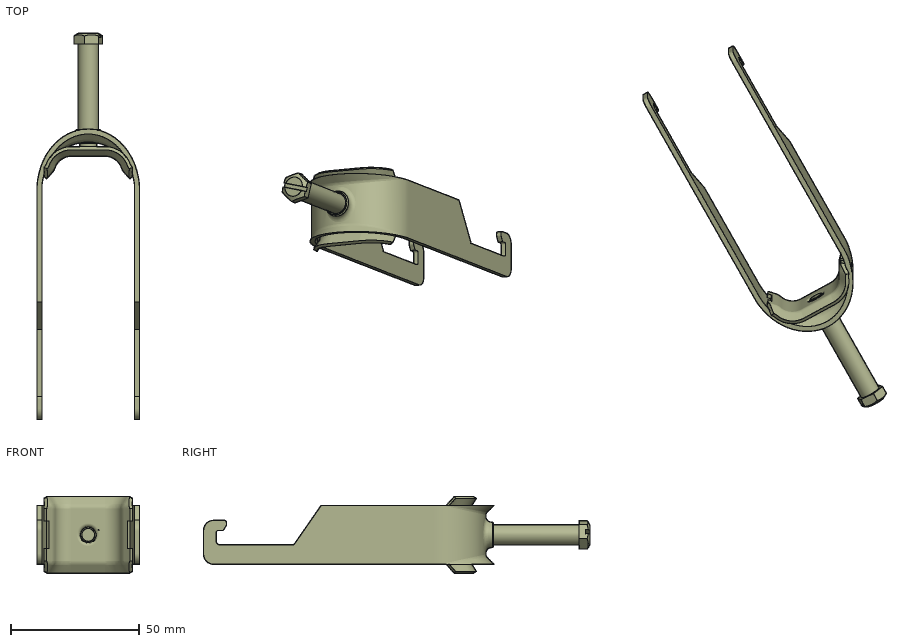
import cadquery as cq
import math

bow_radius = 20.0
strap_thickness = 2.0
strap_width = 23.0
leg_length = 90.0
half_width = strap_width / 2
inner_bow_radius = bow_radius - strap_thickness

flare_start_y = 3.0
flare_height = 3.2
rim_bend_radius = 1.5

ramp_start = 45.8
ramp_end = 35.2
hook_ledge_height = 7.7
hook_height = 17.2
hook_wall = 5.0
hook_throat = 5.5
hook_lip_length = 7.7
hook_reach = 9.0
hook_tip_height = 2.0
hook_corner_radius = 4.0
hook_tip_radius = 0.9
throat_top_radius = 0.8
throat_bottom_radius = 1.4

collar_diameter = 10.0
collar_end_y = 23.0
collar_chamfer = 0.5
collar_fillet = 2.0

saddle_height = 30.0
saddle_thickness = 1.5
saddle_face_y = 12.5
saddle_back_y = saddle_face_y + saddle_thickness
saddle_flat_half = 6.6
saddle_bend_end_x = 12.84
saddle_bend_angle = 70.0
saddle_tab_angle = 48.0
saddle_kink_radius = 6.4
saddle_tab_length = 3.15
saddle_flare_angle = 33.0
saddle_flare_start_z = 11.1
saddle_flare_radius = 3.0
saddle_corner_z = 10.2
saddle_corner_slope = 0.65
notch_height = 10.7
notch_depth = 1.5
hole_rim_radius = 1.4

bolt_end_y = 60.5
head_height = 4.3
head_across_flats = 10.0
head_turn = 15.0
slot_turn = head_turn - 30.0
head_face_radius = 3.8
head_chamfer_angle = 30.0
slot_width = 1.6
slot_depth = 1.8
shank_diameter = 8.0
shank_tip_y = inner_bow_radius - 0.5
core_diameter = 6.65
pin_diameter = 6.0
pin_chamfer = 0.5

clearance = 50.0
margin = 0.1


def y_cylinder(diameter, y_start, y_end):
    """Cylinder about the Y axis."""
    base = cq.Workplane("XZ", origin=(0, y_start, 0)).circle(diameter / 2)
    return base.extrude(y_start - y_end)


def nearest_edge(solid, x, y, z):
    """Edge whose centre lies closest to a point."""
    return solid.edges(cq.selectors.NearestToPointSelector((x, y, z)))



def bow_prism(radius):
    """Solid U outline of the given bow radius over the full strap width."""
    return (
        cq.Workplane("XY", origin=(0, 0, -half_width))
        .moveTo(-radius, -leg_length)
        .lineTo(-radius, 0)
        .threePointArc((0, radius), (radius, 0))
        .lineTo(radius, -leg_length)
        .close()
        .extrude(strap_width)
    )


def rim_slope(radius):
    """Tilt of the bend plane that gives the rim its full height at the crown."""
    return flare_height / (radius - flare_start_y)


def rim_prism(radius):
    """Prism leaning 45 degrees toward +Y; it meets the bow cylinder on the bend plane."""
    slope = rim_slope(radius)
    rim_outline = cq.Wire.makeEllipse(
        radius * (1 + slope),
        radius,
        cq.Vector(0, -slope * flare_start_y, half_width),
        cq.Vector(0, 0, 1),
        cq.Vector(0, 1, 0),
    )
    lean = cq.Vector(0, -half_width, -half_width)
    return cq.Workplane(cq.Solid.extrudeLinear(rim_outline, [], lean))


def rim_wedge(radius):
    """Everything above the bend plane, up to the strap edge."""
    wedge_end_y = 2 * bow_radius
    drop = rim_slope(radius) * (wedge_end_y - flare_start_y)
    return (
        cq.Workplane("YZ")
        .moveTo(flare_start_y, half_width)
        .lineTo(wedge_end_y, half_width)
        .lineTo(wedge_end_y, half_width - drop)
        .close()
        .extrude(clearance, both=True)
    )


def flared_bow(radius, bend_radius):
    """Solid filling the U outline and its flared rims, with rounded bends."""
    wedge = rim_wedge(radius)
    rim = rim_prism(radius).intersect(wedge)
    body = bow_prism(radius).cut(wedge).cut(wedge.mirror("XY"))
    body = body.union(rim).union(rim.mirror("XY"))
    bends = cq.selectors.BoxSelector(
        (-margin, 0, -half_width + margin),
        (margin, radius, half_width - margin),
    )
    return body.edges(bends).fillet(bend_radius)


def leg_cutter():
    """Waste beside the legs: the ramp, the hook throat and the space above the hook."""
    end_y = -leg_length
    wall_y = end_y + hook_wall
    lip_y = end_y + hook_reach
    ledge_z = -half_width + hook_ledge_height
    roof_z = ledge_z + hook_throat
    top_z = -half_width + hook_height
    lip_z = top_z - hook_tip_height
    waste = (
        cq.Workplane("YZ")
        .moveTo(end_y + ramp_start, half_width)
        .lineTo(end_y + ramp_end, ledge_z)
        .lineTo(wall_y, ledge_z)
        .lineTo(wall_y, roof_z)
        .lineTo(end_y + hook_lip_length, roof_z)
        .lineTo(lip_y, lip_z)
        .lineTo(lip_y, top_z)
        .lineTo(end_y, top_z)
        .lineTo(end_y, half_width)
        .close()
        .extrude(clearance, both=True)
    )
    rounded_corners = [
        (wall_y, ledge_z, throat_bottom_radius),
        (wall_y, roof_z, throat_top_radius),
        (lip_y, top_z, hook_tip_radius),
        (lip_y, lip_z, hook_tip_radius),
    ]
    for y, z, radius in rounded_corners:
        waste = nearest_edge(waste, 0, y, z).fillet(radius)
    return waste


def build_strap():
    outer = flared_bow(bow_radius, rim_bend_radius)
    collar = y_cylinder(collar_diameter, 0, collar_end_y)
    outer = outer.union(collar.faces(">Y").edges().chamfer(collar_chamfer))
    outer = nearest_edge(outer, 0, bow_radius, 0).fillet(collar_fillet)

    inner = flared_bow(inner_bow_radius, rim_bend_radius + strap_thickness)
    body = outer.cut(inner).cut(leg_cutter())
    leg_x = bow_radius - strap_thickness / 2
    for x in (-leg_x, leg_x):
        for z in (-half_width, -half_width + hook_height):
            body = nearest_edge(body, x, -leg_length, z).fillet(hook_corner_radius)
    return body.cut(y_cylinder(shank_diameter, 0, collar_end_y))



def saddle_section():
    """Sheet section in YZ: upright in the middle, leaning toward +Y at top and bottom."""
    flare = math.radians(saddle_flare_angle)
    half_height = saddle_height / 2
    front_tip_y = saddle_face_y + (half_height - saddle_flare_start_z) * math.tan(flare)
    back_tip_y = front_tip_y + saddle_thickness * math.cos(flare)
    back_tip_z = half_height - saddle_thickness * math.sin(flare)
    back_bend_z = saddle_flare_start_z - saddle_thickness * math.tan(flare / 2)
    section = (
        cq.Workplane("YZ")
        .moveTo(saddle_back_y, -back_bend_z)
        .lineTo(saddle_back_y, back_bend_z)
        .lineTo(back_tip_y, back_tip_z)
        .lineTo(front_tip_y, half_height)
        .lineTo(saddle_face_y, saddle_flare_start_z)
        .lineTo(saddle_face_y, -saddle_flare_start_z)
        .lineTo(front_tip_y, -half_height)
        .lineTo(back_tip_y, -back_tip_z)
        .close()
    )
    return section, back_bend_z


def saddle_path():
    """Front face line in XY from the middle to one end, and that end point."""
    bend = math.radians(saddle_bend_angle)
    tab = math.radians(saddle_tab_angle)

    def arc_point(center, radius, angle):
        x = center[0] + radius * math.sin(angle)
        y = center[1] + radius * math.cos(angle)
        return x, y

    bend_radius = (saddle_bend_end_x - saddle_flat_half) / math.sin(bend)
    bend_center = (saddle_flat_half, saddle_face_y - bend_radius)
    bend_end = arc_point(bend_center, bend_radius, bend)
    kink_center = arc_point(bend_end, saddle_kink_radius, bend)
    kink_end = arc_point(kink_center, -saddle_kink_radius, tab)
    end_x = kink_end[0] + saddle_tab_length * math.cos(tab)
    end_y = kink_end[1] - saddle_tab_length * math.sin(tab)
    path = (
        cq.Workplane("XY")
        .moveTo(0, saddle_face_y)
        .lineTo(saddle_flat_half, saddle_face_y)
        .threePointArc(arc_point(bend_center, bend_radius, bend / 2), bend_end)
        .threePointArc(arc_point(kink_center, -saddle_kink_radius, (bend + tab) / 2), kink_end)
        .lineTo(end_x, end_y)
    )
    return path, (end_x, end_y, 0)


def saddle_end_cutter(end_point):
    """Notch and two corner cuts, square to the sheet at the end of the tab."""
    reach = saddle_height
    corner = (
        cq.Workplane("XZ")
        .moveTo(0, saddle_corner_z)
        .lineTo(-reach * saddle_corner_slope, saddle_corner_z + reach)
        .lineTo(reach, saddle_corner_z + reach)
        .lineTo(reach, saddle_corner_z)
        .close()
        .extrude(reach, both=True)
    )
    notch = cq.Workplane("XY").box(2 * notch_depth, reach, notch_height)
    cutter = notch.union(corner).union(corner.mirror("XY"))
    return cutter.rotate((0, 0, 0), (0, 0, 1), -saddle_tab_angle).translate(end_point)


def build_saddle():
    section, back_bend_z = saddle_section()
    path, end_point = saddle_path()
    half = section.sweep(path)
    flat_middle_x = saddle_flat_half / 2
    back_bend_radius = saddle_flare_radius - saddle_thickness
    for side in (-1, 1):
        front_bend = nearest_edge(half, flat_middle_x, saddle_face_y, side * saddle_flare_start_z)
        half = front_bend.fillet(saddle_flare_radius)
        back_bend = nearest_edge(half, flat_middle_x, saddle_back_y, side * back_bend_z)
        half = back_bend.fillet(back_bend_radius)
    half = half.cut(saddle_end_cutter(end_point))

    saddle_sheet = half.union(half.mirror("YZ"))
    saddle_sheet = saddle_sheet.cut(y_cylinder(pin_diameter, 0, bow_radius))
    return nearest_edge(saddle_sheet, 0, saddle_face_y, 0).fillet(hole_rim_radius)



def bolt_head(head_y):
    """Slotted hexagon head, turned about the bolt axis, with its end face bevelled."""
    corner_diameter = head_across_flats / math.cos(math.pi / 6)
    bevel_width = corner_diameter / 2 - head_face_radius
    bevel_depth = bevel_width * math.tan(math.radians(head_chamfer_angle))
    hexagon = cq.Workplane("XZ", origin=(0, head_y, 0)).polygon(6, corner_diameter).extrude(-head_height)
    envelope = y_cylinder(corner_diameter, head_y, bolt_end_y)
    envelope = envelope.faces(">Y").edges().chamfer(bevel_depth, bevel_width)
    slot = cq.Workplane("XY", origin=(0, bolt_end_y, 0))
    slot = slot.box(2 * head_across_flats, 2 * slot_depth, slot_width)
    hexagon = hexagon.rotate((0, 0, 0), (0, 1, 0), head_turn)
    slot = slot.rotate((0, 0, 0), (0, 1, 0), slot_turn)
    return hexagon.intersect(envelope).cut(slot)


def build_bolt():
    head_y = bolt_end_y - head_height
    shank = y_cylinder(shank_diameter, shank_tip_y, head_y)
    shank = shank.faces("<Y").edges().chamfer((shank_diameter - core_diameter) / 2)
    core = y_cylinder(core_diameter, saddle_back_y, head_y)
    pin = y_cylinder(pin_diameter, saddle_face_y, head_y)
    pin = pin.faces("<Y").edges().chamfer(pin_chamfer)
    return bolt_head(head_y).union(shank).union(core).union(pin)


strap = build_strap()
saddle = build_saddle()
bolt = build_bolt()
result = cq.Compound.makeCompound([*strap.solids().vals(), *saddle.solids().vals(), *bolt.solids().vals()])